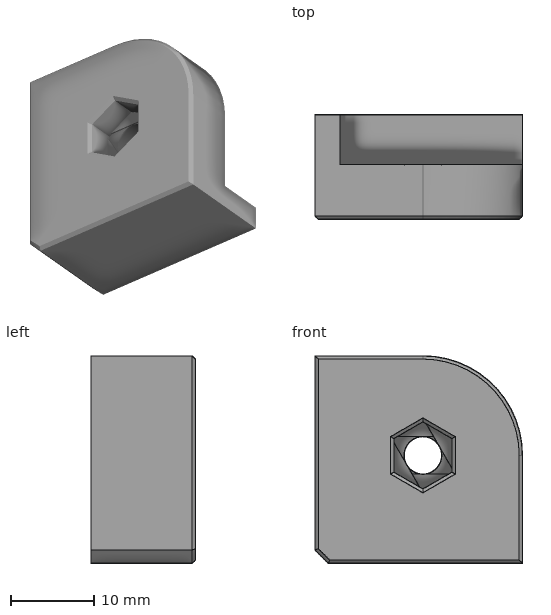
import cadquery as cq
import math

side = 25.0
depth = 12.6
plate_thickness = 6.6
wall_thickness = 3.0
round_radius = 12.0
corner_cut = 1.6
edge_chamfer = 0.4

hole_center = side - round_radius
hole_diameter = 4.5
nut_across_flats = 7.0
nut_depth = 3.4
step_depth = 0.2
first_step_tilt = 120.0
second_step_tilt = 0.0


def front_workplane(y):
    """XZ workplane at the given Y, centred on the hole; a negative extrusion runs toward +Y."""
    return cq.Workplane("XZ", origin=(hole_center, y, hole_center))


def across_corners(across_flats):
    return across_flats / math.cos(math.pi / 6)


def hexagon(y, across_flats):
    """Hexagon outline with corners pointing up and down."""
    turned_plane = front_workplane(y).transformed(rotate=(0, 0, 90))
    return turned_plane.polygon(6, across_corners(across_flats))


def make_body():
    block = cq.Workplane("XY").box(side, depth, side, centered=False)
    block = block.edges("|Y and <X and <Z").chamfer(corner_cut)
    recess_size = side - wall_thickness
    recess = cq.Workplane("XY").box(recess_size, depth - plate_thickness, recess_size, centered=False)
    recess = recess.translate((wall_thickness, plate_thickness, wall_thickness))
    body = block.cut(recess)
    plate_corner = cq.selectors.NearestToPointSelector((side, plate_thickness / 2, side))
    body = body.edges(plate_corner).fillet(round_radius)
    return body.faces("<Y").edges().chamfer(edge_chamfer)


def make_nut_pocket():
    pocket = hexagon(0, nut_across_flats).extrude(-nut_depth)
    mouth = hexagon(0, nut_across_flats + 2 * edge_chamfer).workplane(offset=-edge_chamfer)
    mouth = mouth.polygon(6, across_corners(nut_across_flats)).loft(ruled=True)
    return pocket.union(mouth)


def slot_band(tilt):
    """Endless slot as wide as the hole, turned about the hole axis."""
    band = front_workplane(0).transformed(rotate=(0, 0, tilt))
    return band.rect(2 * nut_across_flats, hole_diameter).extrude(-plate_thickness)


def make_bridging_steps():
    """Nut hexagon narrowed by one slot, then by both slots, one step deeper."""
    first_slot = slot_band(first_step_tilt)
    second_slot = slot_band(second_step_tilt)
    first_step = hexagon(nut_depth, nut_across_flats).extrude(-step_depth).intersect(first_slot)
    second_step = hexagon(nut_depth + step_depth, nut_across_flats).extrude(-step_depth)
    second_step = second_step.intersect(first_slot).intersect(second_slot)
    return first_step.union(second_step)


def make_screw_hole():
    return front_workplane(0).circle(hole_diameter / 2).extrude(-plate_thickness)


result = make_body().cut(make_nut_pocket()).cut(make_bridging_steps()).cut(make_screw_hole())